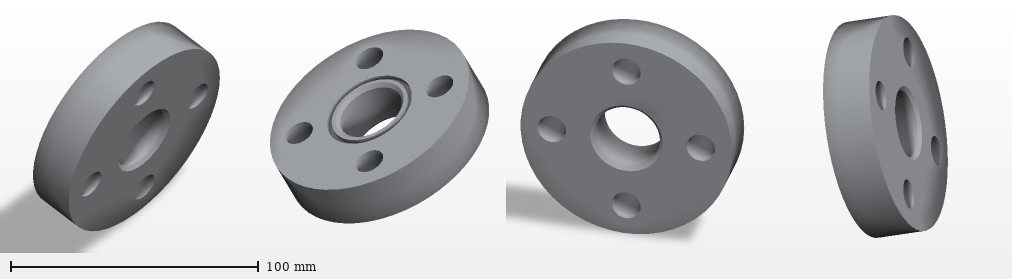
import cadquery as cq

flange_diameter = 88.0
flange_thickness = 20.0

bore_diameter = 27.2
lead_in_diameter = 30.2
lead_in_depth = (lead_in_diameter - bore_diameter) / 2

groove_outer_diameter = 37.4
groove_inner_diameter = 33.4
groove_depth = 2.0

bolt_hole_count = 4
bolt_hole_diameter = 12.0
bolt_circle_diameter = 62.0


def make_disc():
    return cq.Workplane("YZ").circle(flange_diameter / 2).extrude(flange_thickness)


def cut_bore(body):
    bore = cq.Workplane("YZ").circle(bore_diameter / 2).extrude(flange_thickness)
    front_lead_in = (
        cq.Workplane("YZ")
        .circle(lead_in_diameter / 2)
        .workplane(offset=lead_in_depth)
        .circle(bore_diameter / 2)
        .loft(ruled=True)
    )
    mid_plane = (flange_thickness / 2, 0, 0)
    back_lead_in = front_lead_in.mirror("YZ", mid_plane)
    return body.cut(bore).cut(front_lead_in).cut(back_lead_in)


def cut_ring_groove(body):
    groove = (
        cq.Workplane("YZ")
        .circle(groove_outer_diameter / 2)
        .circle(groove_inner_diameter / 2)
        .extrude(groove_depth)
    )
    return body.cut(groove)


def cut_bolt_holes(body):
    holes = (
        cq.Workplane("YZ")
        .polarArray(bolt_circle_diameter / 2, 0, 360, bolt_hole_count)
        .circle(bolt_hole_diameter / 2)
        .extrude(flange_thickness)
    )
    return body.cut(holes)


result = make_disc()
result = cut_bore(result)
result = cut_ring_groove(result)
result = cut_bolt_holes(result)